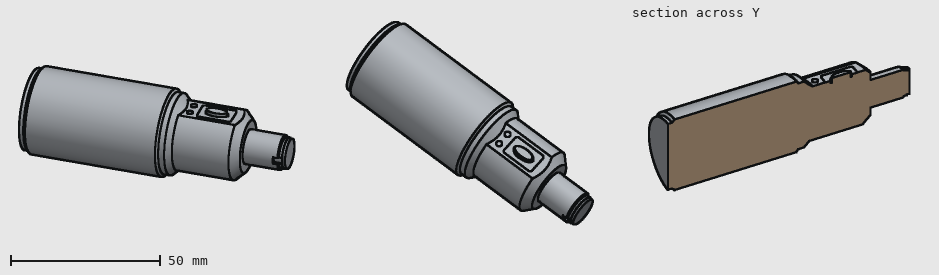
import cadquery as cq

nose_end = 1.5
body_start = 2.5
body_end = 48.05
collar_start = 48.85
collar_end = 50.95
rear_start = collar_end
rear_chamfer_start = 72.85
rear_end = 75.85
plug_end = 88.0
plug_rim_start = 88.35
plug_rim_end = 89.4
total_length = 90.45

body_radius = 15.0
nose_radius = 14.0
collar_radius = 14.0
rear_radius = 11.97
rear_end_radius = 9.0
plug_radius = 5.95
plug_rim_radius = 5.4
plug_tip_radius = 5.15

flat_height = 10.85

button_x = 64.85
button_length = 7.2
button_width = 3.1
button_rise = 1.0
clearance_gap = 0.4
clearance_depth = 1.0

label_length = 12.0
label_width = 7.4
label_corner_radius = 0.8
label_depth = 0.05

lamp_x = 56.1
lamp_spacing = 4.4
lamp_radius = 1.0
lamp_rise = 0.1

key_start = 86.4
key_width = 2.45
key_floor_radius = 4.85


def revolve_profile(points):
    """Revolve a closed (x, radius) outline about the X axis."""
    return cq.Workplane("XY").polyline(points).close().revolve(360, (0, 0, 0), (1, 0, 0))


def plane_at(height):
    """Horizontal work plane at the given height."""
    return cq.Workplane("XY").workplane(offset=height)


def make_front_body():
    """Sensing head with its narrower nose, and the collar with its 45 degree cone."""
    cone_length = collar_radius
    return revolve_profile([
        (0, 0),
        (0, nose_radius),
        (nose_end, nose_radius),
        (body_start, body_radius),
        (body_end, body_radius),
        (collar_start, collar_radius),
        (collar_end, collar_radius),
        (collar_end + cone_length, 0),
    ])


def make_rear_housing():
    """Chamfered cylinder behind the collar, flattened on top."""
    housing = revolve_profile([
        (rear_start, 0),
        (rear_start, rear_radius),
        (rear_chamfer_start, rear_radius),
        (rear_end, rear_end_radius),
        (rear_end, 0),
    ])
    block_length = rear_end - rear_start
    above_flat = plane_at(flat_height).center(rear_start + block_length / 2, 0).rect(
        block_length, 2 * rear_radius
    ).extrude(rear_radius)
    return housing.cut(above_flat)


def make_plug():
    """Stepped connector plug at the rear."""
    return revolve_profile([
        (rear_end, 0),
        (rear_end, plug_radius),
        (plug_end, plug_radius),
        (plug_rim_start, plug_rim_radius),
        (plug_rim_end, plug_rim_radius),
        (plug_rim_end, plug_tip_radius),
        (total_length, plug_tip_radius),
        (total_length, 0),
    ])


def make_key_slot():
    """Cutter for the key slot: a bar on the -Y side, outside the round slot floor."""
    key_length = plug_rim_end - key_start
    bar = cq.Workplane("XY").box(
        key_length, plug_radius, key_width, centered=(False, False, True)
    ).translate((key_start, -plug_radius, 0))
    core = cq.Workplane("YZ").workplane(offset=key_start).circle(key_floor_radius).extrude(key_length)
    return bar.cut(core)


def make_label_recess():
    """Cutter for the rounded label recess."""
    return plane_at(flat_height).center(button_x, 0).rect(label_length, label_width).extrude(
        -label_depth
    ).edges("|Z").fillet(label_corner_radius)


def make_button_clearance():
    """Cutter for the elliptical clearance in which the button sits."""
    return plane_at(flat_height).center(button_x, 0).ellipse(
        button_length / 2 + clearance_gap, button_width / 2 + clearance_gap
    ).extrude(-clearance_depth)


def make_button():
    """Elliptical push button rising from the clearance floor."""
    return plane_at(flat_height - clearance_depth).center(button_x, 0).ellipse(
        button_length / 2, button_width / 2
    ).extrude(clearance_depth + button_rise)


def make_lamp(side):
    """Round indicator lamp standing slightly proud of the flat."""
    return plane_at(flat_height).center(lamp_x, side * lamp_spacing / 2).circle(
        lamp_radius
    ).extrude(lamp_rise)


result = make_front_body().union(make_rear_housing()).union(make_plug())
result = result.cut(make_key_slot())
result = result.cut(make_label_recess())
result = result.cut(make_button_clearance()).union(make_button())
for side in (-1, 1):
    result = result.union(make_lamp(side))